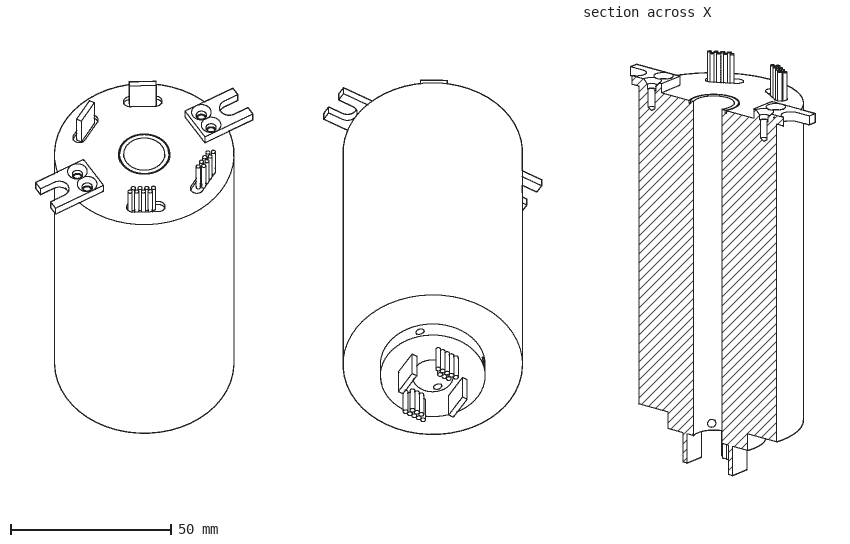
import cadquery as cq
import math

body_radius = 28.0
body_height = 105.2
flange_radius = 16.35
flange_height = 5.5
bore_radius = 6.4

shaft_radius = 7.7
groove_outer_radius = 8.0
groove_depth = 1.0

strip_width = 8.4
strip_thickness = 1.7

upper_lead_length = 9.0
slot_circle_radius = 20.9
slot_length = 12.0
slot_width = 4.0
slot_depth = 1.5
slot_angle = 30.0
upper_wire_pitch = 2.1
upper_row_spacing = 1.35
upper_wire_diameter = 1.3
upper_wires_per_row = 4
upper_wire_shift_along = 1.25
upper_wire_shift_out = 0.3

lower_lead_length = 9.7
lower_lead_radius = 9.15
lower_wire_diameter = 1.5
lower_wire_pitch = 1.6
lower_row_spacing = 1.6
lower_inner_wires = 3
lower_outer_wires = 5
lower_wire_shift = 0.75

bracket_width = 12.0
bracket_length = 17.5
bracket_thickness = 3.0
bracket_reach = 36.0
fork_width = 6.0
fork_depth = 8.0

screw_radius_from_axis = 22.6
screw_spacing = 5.85
screw_clearance_diameter = 3.2
countersink_diameter = 6.1
countersink_angle = 90.0
tapped_hole_diameter = 2.5
tapped_hole_depth = 6.0
drill_tip_angle = 118.0

set_screw_diameter = 2.6
set_screw_drop = 3.2
set_screw_angles = (45.0, 135.0, 225.0, 315.0)


def make_body():
    """Cylinder with its base at Z = 0 and the flange below it."""
    body = cq.Workplane("XY").circle(body_radius).extrude(body_height)
    flange = cq.Workplane("XY").circle(flange_radius).extrude(-flange_height)
    return body.union(flange)


def make_bore():
    total_height = body_height + flange_height
    return cq.Workplane("XY", origin=(0, 0, -flange_height)).circle(bore_radius).extrude(total_height)


def make_shaft_groove():
    top = cq.Workplane("XY", origin=(0, 0, body_height))
    return top.circle(groove_outer_radius).circle(shaft_radius).extrude(-groove_depth)


def make_set_screw_hole(angle):
    """Radial hole from outside the flange into the bore."""
    start = cq.Workplane("YZ").center(0, -set_screw_drop)
    hole = start.circle(set_screw_diameter / 2).extrude(flange_radius)
    return hole.rotate((0, 0, 0), (0, 0, 1), angle)


def make_strip(center_x, bottom, length):
    """Flat strip across the X axis, broad side facing outward."""
    base = cq.Workplane("XY", origin=(center_x, 0, bottom))
    return base.rect(strip_thickness, strip_width).extrude(length)


def make_wire_row(center_x, center_y, count, pitch, diameter, bottom, length):
    """Row of vertical round wires spaced along Y about the row centre."""
    base = cq.Workplane("XY", origin=(center_x, center_y, bottom))
    points = [(0, (index - (count - 1) / 2) * pitch) for index in range(count)]
    return base.pushPoints(points).circle(diameter / 2).extrude(length)


def make_upper_slot():
    base = cq.Workplane("XY", origin=(slot_circle_radius, 0, body_height))
    return base.slot2D(slot_length, slot_width, 90).extrude(-slot_depth)


def place_at_slot(shape, side):
    """Turn a shape from the +X axis to its slot; side is +1 for +X and -1 for -X."""
    angle = slot_angle if side > 0 else 180 - slot_angle
    return shape.rotate((0, 0, 0), (0, 0, 1), angle)


def make_upper_strip():
    return make_strip(slot_circle_radius, body_height - slot_depth, upper_lead_length + slot_depth)


def make_upper_wires():
    """Two rows of equal count, staggered by half a pitch."""
    wires = cq.Workplane("XY")
    for row in (-1, 1):
        wires = wires.add(
            make_wire_row(
                slot_circle_radius + upper_wire_shift_out + row * upper_row_spacing / 2,
                upper_wire_shift_along + row * upper_wire_pitch / 4,
                upper_wires_per_row,
                upper_wire_pitch,
                upper_wire_diameter,
                body_height - slot_depth,
                upper_lead_length + slot_depth,
            )
        )
    return wires.combine()


def make_lower_strip():
    bottom = -flange_height - lower_lead_length
    return make_strip(lower_lead_radius, bottom, lower_lead_length).rotate((0, 0, 0), (0, 0, 1), 90)


def make_lower_wires():
    """Short inner row and longer outer row, both centred at the same Y."""
    wires = cq.Workplane("XY")
    for row, count in ((-1, lower_inner_wires), (1, lower_outer_wires)):
        wires = wires.add(
            make_wire_row(
                lower_lead_radius + row * lower_row_spacing / 2,
                lower_wire_shift,
                count,
                lower_wire_pitch,
                lower_wire_diameter,
                -flange_height - lower_lead_length,
                lower_lead_length,
            )
        )
    return wires.combine()


def make_bracket():
    """Bracket on the +Y side with a round-ended fork open outward."""
    bracket_center = bracket_reach - bracket_length / 2
    base = cq.Workplane("XY", origin=(0, 0, body_height))
    plate = base.center(0, bracket_center).rect(bracket_width, bracket_length).extrude(bracket_thickness)
    fork = base.center(0, bracket_reach).slot2D(2 * fork_depth, fork_width, 90).extrude(bracket_thickness)
    return plate.cut(fork)


def make_screw_hole(center_x):
    """Countersunk clearance hole in the bracket over a blind drilled hole in the body."""
    screw_radius = screw_clearance_diameter / 2
    head_radius = countersink_diameter / 2
    tapped_radius = tapped_hole_diameter / 2
    bracket_top = body_height + bracket_thickness
    sink_depth = (head_radius - screw_radius) / math.tan(math.radians(countersink_angle / 2))
    tip_depth = tapped_radius / math.tan(math.radians(drill_tip_angle / 2))
    hole_bottom = body_height - tapped_hole_depth
    profile = (
        cq.Workplane("XZ")
        .moveTo(0, bracket_top)
        .lineTo(head_radius, bracket_top)
        .lineTo(screw_radius, bracket_top - sink_depth)
        .lineTo(screw_radius, body_height)
        .lineTo(tapped_radius, body_height)
        .lineTo(tapped_radius, hole_bottom)
        .lineTo(0, hole_bottom - tip_depth)
        .close()
    )
    hole = profile.revolve(360, (0, 0, 0), (0, 1, 0))
    return hole.translate((center_x, screw_radius_from_axis, 0))


result = make_body().cut(make_shaft_groove())

upper_slot = make_upper_slot()
for side, lead in ((1, make_upper_wires()), (-1, make_upper_strip())):
    slot = place_at_slot(upper_slot, side)
    placed_lead = place_at_slot(lead, side)
    result = result.cut(slot).cut(slot.mirror("XZ"))
    result = result.union(placed_lead).union(placed_lead.mirror("XZ"))

lower_strip = make_lower_strip()
lower_wires = make_lower_wires()
result = result.union(lower_strip).union(lower_strip.mirror("XZ"))
result = result.union(lower_wires).union(lower_wires.mirror("YZ"))

bracket = make_bracket()
result = result.union(bracket).union(bracket.mirror("XZ"))
for screw_x in (-screw_spacing / 2, screw_spacing / 2):
    screw_hole = make_screw_hole(screw_x)
    result = result.cut(screw_hole).cut(screw_hole.mirror("XZ"))

for screw_angle in set_screw_angles:
    result = result.cut(make_set_screw_hole(screw_angle))
result = result.cut(make_bore())